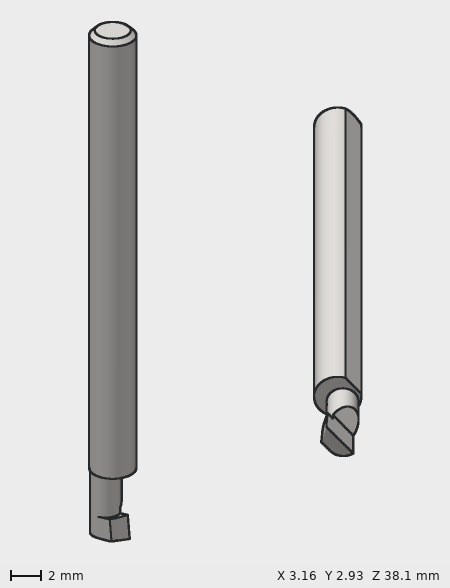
import cadquery as cq

total_length = 38.1
shank_radius = 1.58
shank_bottom = 5.15
shank_chamfer = 0.4
shank_flat_y = 1.353

neck_radius = 1.05
neck_x = neck_radius - shank_radius

rake_face_y = 0.05
runout_bottom = 2.25
runout_top = 3.15

tooth_top = 1.83
tip_x = 1.25
relief_edge_x = 0.72
relief_edge_y = -0.75
heel_x = 0.45
side_taper = 0.15
nose_radius = 0.1

end_rise_x = 0.095
end_rise_y = 0.135
cut_margin = 0.4


def make_shank():
    shank = (
        cq.Workplane("XY", origin=(0, 0, shank_bottom))
        .circle(shank_radius)
        .extrude(total_length - shank_bottom)
        .faces(">Z")
        .chamfer(shank_chamfer)
    )
    flat_cut = (
        cq.Workplane("XY", origin=(0, shank_flat_y, 0))
        .rect(2 * shank_radius, 2 * shank_radius)
        .extrude(total_length)
        .translate((0, shank_radius, 0))
    )
    return shank.cut(flat_cut)


def make_neck():
    neck = cq.Workplane("XY").center(neck_x, 0).circle(neck_radius).extrude(shank_bottom)
    relief = (
        cq.Workplane("YZ")
        .polyline([
            (rake_face_y, -cut_margin),
            (rake_face_y, runout_bottom),
            (neck_radius, runout_top),
            (neck_radius + cut_margin, runout_top),
            (neck_radius + cut_margin, -cut_margin),
        ])
        .close()
        .extrude(shank_radius, both=True)
    )
    return neck.cut(relief)


def tooth_section(inset):
    """Corners of the tooth, with its +X side moved inward by inset."""
    return [
        (neck_x, rake_face_y),
        (neck_x, -neck_radius),
        (heel_x - inset, -neck_radius),
        (relief_edge_x - inset, relief_edge_y),
        (tip_x - inset, rake_face_y),
    ]


def make_end_clearance():
    """Solid below the bottom face, which rises from the tip toward -X and -Y."""
    along_x = cq.Vector(-(tip_x + shank_radius), 0, end_rise_x)
    along_y = cq.Vector(0, -neck_radius, end_rise_y)
    end_plane = cq.Plane(origin=(tip_x, rake_face_y, 0), xDir=along_x, normal=along_x.cross(along_y))
    block_size = 4 * shank_radius
    return cq.Workplane(end_plane).rect(block_size, block_size).extrude(-block_size)


def make_tooth():
    tooth = (
        cq.Workplane("XY")
        .polyline(tooth_section(0))
        .close()
        .workplane(offset=tooth_top)
        .polyline(tooth_section(side_taper))
        .close()
        .loft(ruled=True)
    )
    tooth = tooth.cut(make_end_clearance())
    nose_point = (tip_x, (rake_face_y + relief_edge_y) / 2, 0)
    return tooth.edges(cq.selectors.NearestToPointSelector(nose_point)).fillet(nose_radius)


head = make_neck().cut(make_end_clearance()).union(make_tooth())
result = make_shank().union(head)